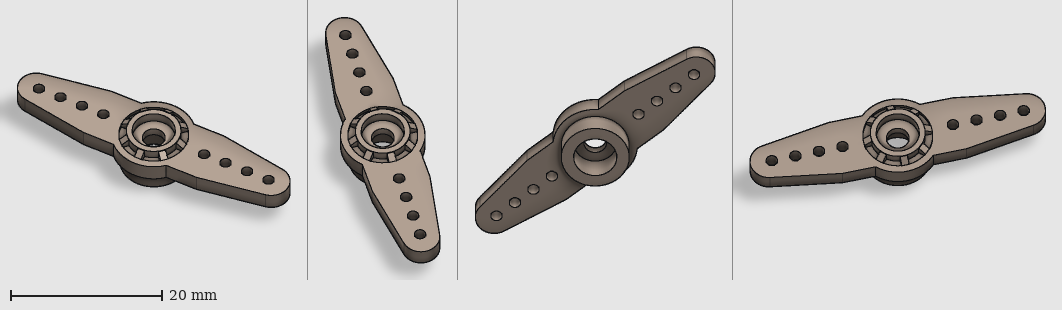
import cadquery as cq
import math

boss_height = 3.0
plate_thickness = 2.5
collar_height = 0.8
plate_top = boss_height + plate_thickness
collar_top = plate_top + collar_height

boss_diameter = 9.0
hub_diameter = 11.2
collar_diameter = 7.25
recess_diameter = 5.7
recess_depth = 1.5
screw_hole_diameter = 3.0
socket_diameter = 5.7
web_thickness = 1.2
socket_depth = collar_top - recess_depth - web_thickness

arm_length = 20.0
arm_tip_radius = 2.5
arm_root_half_width = 4.0
taper_start = 8.42
tip_center = arm_length - arm_tip_radius

linkage_hole_diameter = 1.5
first_linkage_hole = 7.5
linkage_hole_pitch = 3.2
linkage_holes_per_arm = 4

groove_diameter = 9.25
groove_depth = 0.5
rib_count = 8
rib_width = 1.0
rib_drop = 0.1


def cylinder(diameter, bottom, top):
    """Upright cylinder on the Z axis between two heights."""
    return cq.Workplane("XY").workplane(offset=bottom).circle(diameter / 2).extrude(top - bottom)


def make_plate():
    """Flat double arm: straight root, tapered sides tangent to round tips, round hub."""
    corner_distance = math.hypot(tip_center - taper_start, arm_root_half_width)
    taper_angle = math.atan2(arm_root_half_width, tip_center - taper_start)
    tangent_angle = math.acos(arm_tip_radius / corner_distance)
    contact_angle = math.pi - taper_angle - tangent_angle
    contact_x = tip_center + arm_tip_radius * math.cos(contact_angle)
    contact_y = arm_tip_radius * math.sin(contact_angle)
    arms = (
        cq.Workplane("XY")
        .workplane(offset=boss_height)
        .moveTo(-taper_start, arm_root_half_width)
        .lineTo(taper_start, arm_root_half_width)
        .lineTo(contact_x, contact_y)
        .threePointArc((arm_length, 0), (contact_x, -contact_y))
        .lineTo(taper_start, -arm_root_half_width)
        .lineTo(-taper_start, -arm_root_half_width)
        .lineTo(-contact_x, -contact_y)
        .threePointArc((-arm_length, 0), (-contact_x, contact_y))
        .close()
        .extrude(plate_thickness)
    )
    return arms.union(cylinder(hub_diameter, boss_height, plate_top))


def linkage_holes():
    """Row of pins along both arms, to be cut out of the plate."""
    distances = [first_linkage_hole + i * linkage_hole_pitch for i in range(linkage_holes_per_arm)]
    centers = [(side * distance, 0) for side in (-1, 1) for distance in distances]
    return (
        cq.Workplane("XY")
        .workplane(offset=boss_height)
        .pushPoints(centers)
        .circle(linkage_hole_diameter / 2)
        .extrude(plate_thickness)
    )


def make_rib():
    """Rib along +X that slopes from the collar wall down to the groove rim."""
    inner = (collar_diameter + recess_diameter) / 4
    groove_floor = plate_top - groove_depth
    rib_top = collar_top - rib_drop
    return (
        cq.Workplane("XZ")
        .moveTo(inner, groove_floor)
        .lineTo(inner, rib_top)
        .lineTo(collar_diameter / 2, rib_top)
        .lineTo(groove_diameter / 2, plate_top)
        .lineTo(groove_diameter / 2, groove_floor)
        .close()
        .extrude(rib_width / 2, both=True)
    )


def add_collar(body):
    """Sunken ring groove with the raised collar at its middle and the ribs across it."""
    groove_floor = plate_top - groove_depth
    body = body.cut(cylinder(groove_diameter, groove_floor, plate_top))
    body = body.union(cylinder(collar_diameter, groove_floor, collar_top))
    rib = make_rib()
    for i in range(rib_count):
        body = body.union(rib.rotate((0, 0, 0), (0, 0, 1), i * 360 / rib_count))
    return body


def cut_bore(body):
    """Screw-head recess from above, screw hole through the web, shaft socket from below."""
    body = body.cut(cylinder(recess_diameter, collar_top - recess_depth, collar_top))
    body = body.cut(cylinder(screw_hole_diameter, 0, collar_top))
    return body.cut(cylinder(socket_diameter, 0, socket_depth))


result = make_plate().union(cylinder(boss_diameter, 0, plate_top))
result = result.cut(linkage_holes())
result = add_collar(result)
result = cut_bore(result)